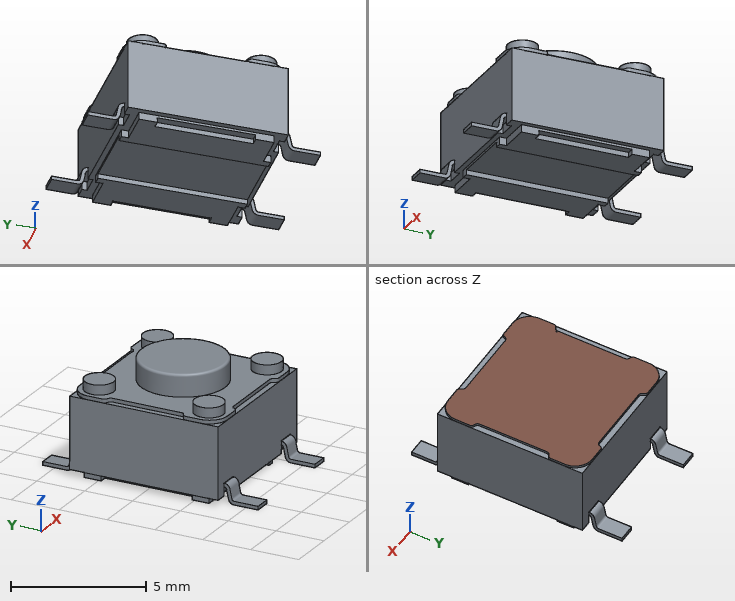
import cadquery as cq
import math

housing_side = 6.2
housing_bottom = 0.3
housing_top = 3.25

base_side = 5.78
base_corner_depth = 0.28
base_tab_half_length = 1.59
channel_width = 2.62
side_relief_length = 3.8
side_relief_depth = 0.3
relief_height = 0.2

cover_side = 6.18
cover_top = 3.4
cover_corner_radius = 0.75
notch_mouth_half_length = 1.735
notch_floor_half_length = 1.435
notch_depth = 0.235
rivet_diameter = 1.2
rivet_offset = 2.29
rivet_top = 3.8
button_diameter = 3.5
button_top = 4.3
button_edge_radius = 0.1

lead_span = 9.0
lead_width = 0.7
lead_center_x = 2.24
lead_thickness = 0.15
lead_top = 0.8
lead_bend_start_y = 3.08
lead_bend_inner_radius = 0.1
lead_bend_outer_radius = lead_bend_inner_radius + lead_thickness
lead_lean = math.radians(12)

lead_slot_depth = 0.2
lead_slot_clearance = 0.03

housing_half = housing_side / 2
base_half = base_side / 2
cover_half = cover_side / 2
lead_inner_x = lead_center_x - lead_width / 2
lead_outer_x = lead_center_x + lead_width / 2
slot_back_y = housing_half - lead_slot_depth


def box(x_range, y_range, z_range):
    """Axis-aligned box between the given limits."""
    limits = (x_range, y_range, z_range)
    sizes = [high - low for low, high in limits]
    corner = cq.Vector(*[low for low, high in limits])
    return cq.Workplane("XY").box(*sizes, centered=False).translate(corner)


def centered_box(length, width, bottom, top):
    """Box centred on the Z axis."""
    return box((-length / 2, length / 2), (-width / 2, width / 2), (bottom, top))


def cylinder(diameter, bottom, top):
    """Upright cylinder on the Z axis."""
    return cq.Workplane("XY").workplane(offset=bottom).circle(diameter / 2).extrude(top - bottom)


def four_quadrants(shape):
    """Copies of a shape mirrored into all four XY quadrants."""
    pair = shape.union(shape.mirror("YZ"))
    return pair.union(pair.mirror("XZ"))


def make_housing():
    block = centered_box(housing_side, housing_side, housing_bottom, housing_top)
    slot = box(
        (lead_inner_x, lead_outer_x + lead_slot_clearance),
        (slot_back_y, housing_half),
        (housing_bottom, lead_top),
    )
    return block.cut(four_quadrants(slot))


def make_base():
    base = centered_box(base_side, base_side, 0, housing_bottom)
    corner = box(
        (base_tab_half_length, base_half),
        (base_half - base_corner_depth, base_half),
        (0, housing_bottom),
    )
    base = base.cut(four_quadrants(corner))
    base = base.cut(centered_box(channel_width, base_side, 0, relief_height))
    side_relief = box(
        (base_half - side_relief_depth, base_half),
        (-side_relief_length / 2, side_relief_length / 2),
        (0, relief_height),
    )
    return base.cut(side_relief).cut(side_relief.mirror("YZ"))


def make_cover_notch():
    """Cutter for the +Y edge of the cover, with an S-curve of two tangent arcs at each end."""
    curve_mid_x = (notch_mouth_half_length + notch_floor_half_length) / 2
    curve_mid_y = cover_half - notch_depth / 2
    floor_y = cover_half - notch_depth
    half_notch = (
        cq.Workplane("XY")
        .workplane(offset=housing_top)
        .moveTo(0, floor_y)
        .lineTo(notch_floor_half_length, floor_y)
        .tangentArcPoint((curve_mid_x, curve_mid_y), relative=False)
        .tangentArcPoint((notch_mouth_half_length, cover_half), relative=False)
        .lineTo(0, cover_half)
        .close()
        .extrude(cover_top - housing_top)
    )
    return half_notch.union(half_notch.mirror("YZ"))


def make_cover():
    cover = centered_box(cover_side, cover_side, housing_top, cover_top)
    cover = cover.edges("|Z").fillet(cover_corner_radius)
    notch = make_cover_notch()
    for angle in (0, 90, 180, 270):
        cover = cover.cut(notch.rotate((0, 0, 0), (0, 0, 1), angle))
    return cover


def make_rivets():
    rivet = cylinder(rivet_diameter, cover_top, rivet_top)
    return four_quadrants(rivet.translate((rivet_offset, rivet_offset, 0)))


def make_button():
    button = cylinder(button_diameter, cover_top, button_top)
    return button.faces(">Z").edges().fillet(button_edge_radius)


def make_leads():
    upper_y = lead_bend_start_y
    upper_z = lead_top - lead_bend_outer_radius
    lower_z = lead_thickness + lead_bend_inner_radius
    radius_sum = lead_bend_outer_radius + lead_bend_inner_radius
    bend_drop = upper_z - lower_z
    lower_y = upper_y + (radius_sum + bend_drop * math.sin(lead_lean)) / math.cos(lead_lean)
    bend_middle = (lead_lean + math.pi / 2) / 2

    def upper_point(radius, angle):
        return (upper_y + radius * math.cos(angle), upper_z + radius * math.sin(angle))

    def lower_point(radius, angle):
        return (lower_y - radius * math.cos(angle), lower_z - radius * math.sin(angle))

    inner = lead_bend_inner_radius
    outer = lead_bend_outer_radius
    lead = (
        cq.Workplane("YZ")
        .workplane(offset=lead_inner_x)
        .moveTo(slot_back_y, lead_top)
        .lineTo(upper_y, lead_top)
        .threePointArc(upper_point(outer, bend_middle), upper_point(outer, lead_lean))
        .lineTo(*lower_point(inner, lead_lean))
        .threePointArc(lower_point(inner, bend_middle), (lower_y, lead_thickness))
        .lineTo(lead_span / 2, lead_thickness)
        .lineTo(lead_span / 2, 0)
        .lineTo(lower_y, 0)
        .threePointArc(lower_point(outer, bend_middle), lower_point(outer, lead_lean))
        .lineTo(*upper_point(inner, lead_lean))
        .threePointArc(upper_point(inner, bend_middle), (upper_y, lead_top - lead_thickness))
        .lineTo(slot_back_y, lead_top - lead_thickness)
        .close()
        .extrude(lead_width)
    )
    return four_quadrants(lead)


result = make_housing()
for component in (make_base(), make_cover(), make_rivets(), make_button(), make_leads()):
    result = result.union(component)